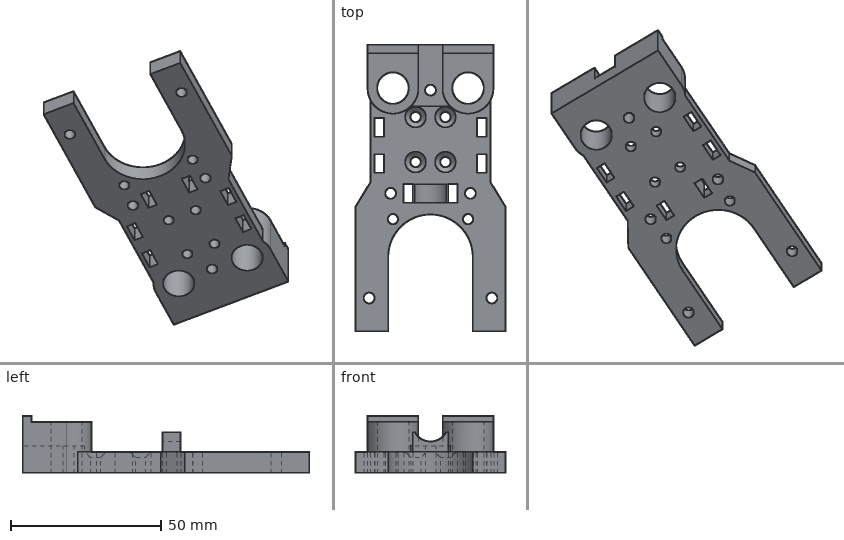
import cadquery as cq

length = 95.4
arm_half_width = 25.0
body_half_width = 20.0
plate_height = 7.0
total_height = 19.0
taper_start_y = 41.4
taper_end_y = 49.5

gap_radius = 14.0
gap_center_y = 24.8

boss_x = 12.5
boss_y = 80.9
boss_radius = 8.5
boss_bore = 10.4
lip_height = 2.0
lip_depth = 3.0
boss_height = total_height - lip_height

bridge_front_y = 74.9
bridge_height = plate_height + 2.1

saddle_half_width = 5.9
saddle_depth = 6.1
saddle_y = 45.9
saddle_top = 13.55
saddle_groove_radius = 6.0
saddle_groove_bottom = 10.5
window_half_span = 9.0

slot_width = 3.1
slot_depth = 6.1
slot_x = 17.1
slot_rows = (55.8, 67.85)

screw_diameter = 3.5
wide_hole = (13.3, saddle_y)
inner_hole_diameter = 3.3
inner_hole = (boss_x, 37.3)
arm_hole = (20.4, 11.1)
bridge_hole_y = 80.3
sink_hole_diameter = 3.3
sink_diameter = 6.9
sink_angle = 90
sink_x = 5.0
sink_rows = (56.3, 71.3)


def box(x_min, x_max, y_min, y_max, height):
    """Upright block standing on the underside plane."""
    block = cq.Workplane("XY").box(x_max - x_min, y_max - y_min, height, centered=False)
    return block.translate((x_min, y_min, 0))


def mirrored(x, y):
    """A point and its mirror image about the centre line."""
    return [(-x, y), (x, y)]


def cylinders(points, diameter):
    """Full-height cutters for round through holes."""
    return cq.Workplane("XY").pushPoints(points).circle(diameter / 2).extrude(total_height)


def make_plate():
    return (
        cq.Workplane("XY")
        .moveTo(-arm_half_width, 0)
        .lineTo(-gap_radius, 0)
        .lineTo(-gap_radius, gap_center_y)
        .threePointArc((0, gap_center_y + gap_radius), (gap_radius, gap_center_y))
        .lineTo(gap_radius, 0)
        .lineTo(arm_half_width, 0)
        .lineTo(arm_half_width, taper_start_y)
        .lineTo(body_half_width, taper_end_y)
        .lineTo(body_half_width, length)
        .lineTo(-body_half_width, length)
        .lineTo(-body_half_width, taper_end_y)
        .lineTo(-arm_half_width, taper_start_y)
        .close()
        .extrude(plate_height)
    )


def make_boss(x):
    left = x - boss_radius
    right = x + boss_radius
    nose = cq.Workplane("XY").center(x, boss_y).circle(boss_radius).extrude(boss_height)
    body = box(left, right, boss_y, length, boss_height)
    lip = box(left, right, length - lip_depth, length, total_height)
    return nose.union(body).union(lip)


def make_saddle():
    front = saddle_y - saddle_depth / 2
    back = saddle_y + saddle_depth / 2
    block = box(-saddle_half_width, saddle_half_width, front, back, saddle_top)
    groove = (
        cq.Workplane("XZ", origin=(0, back, 0))
        .center(0, saddle_groove_bottom + saddle_groove_radius)
        .circle(saddle_groove_radius)
        .extrude(saddle_depth)
    )
    return block.cut(groove)


def rectangular_openings():
    slot_points = [point for y in slot_rows for point in mirrored(slot_x, y)]
    slots = cq.Workplane("XY").pushPoints(slot_points).rect(slot_width, slot_depth).extrude(plate_height)
    window_width = window_half_span - saddle_half_width
    window_x = saddle_half_width + window_width / 2
    windows = (
        cq.Workplane("XY")
        .pushPoints(mirrored(window_x, saddle_y))
        .rect(window_width, saddle_depth)
        .extrude(plate_height)
    )
    return slots.union(windows)


result = make_plate().union(make_saddle())
result = result.union(box(-boss_x, boss_x, bridge_front_y, length, bridge_height))
for side in (-1, 1):
    result = result.union(make_boss(side * boss_x))

result = result.cut(rectangular_openings())
result = result.cut(cylinders(mirrored(boss_x, boss_y), boss_bore))
screw_points = mirrored(*wide_hole) + mirrored(*arm_hole) + [(0, bridge_hole_y)]
result = result.cut(cylinders(screw_points, screw_diameter))
result = result.cut(cylinders(mirrored(*inner_hole), inner_hole_diameter))

sink_points = [point for y in sink_rows for point in mirrored(sink_x, y)]
result = (
    result.copyWorkplane(cq.Workplane("XY", origin=(0, 0, plate_height)))
    .pushPoints(sink_points)
    .cskHole(sink_hole_diameter, sink_diameter, sink_angle)
)